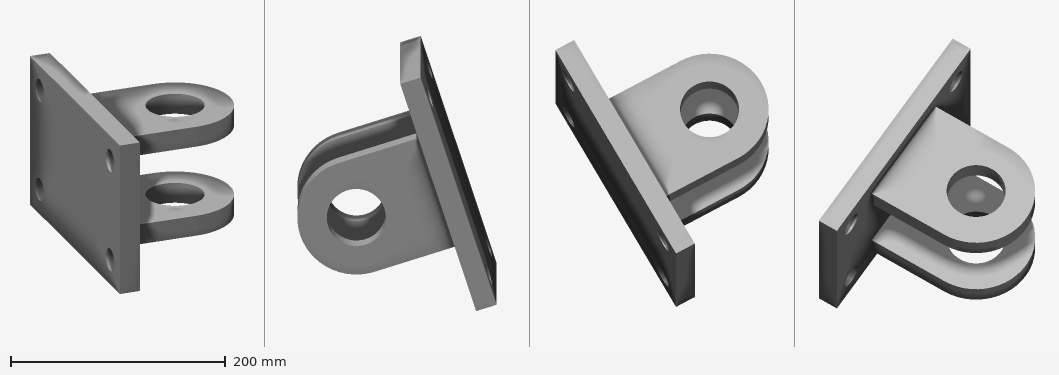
import cadquery as cq

plate_width = 230.0
plate_height = 150.0
plate_thickness = 20.0

mount_hole_diameter = 22.0
mount_hole_spacing_x = 180.0
mount_hole_spacing_z = 100.0

total_depth = 155.0
lug_width = 110.0
lug_thickness = 20.0
lug_outer_span = 110.0
pin_hole_diameter = 55.0
lug_radius = lug_width / 2
pin_axis_y = total_depth - lug_radius
lug_center_offset = (lug_outer_span - lug_thickness) / 2


def make_plate():
    """Rectangular plate with a mounting hole near each corner."""
    plate = cq.Workplane("XY").box(
        plate_width, plate_thickness, plate_height, centered=(True, False, True)
    )
    return (
        plate.faces("<Y")
        .workplane(centerOption="CenterOfBoundBox")
        .rect(mount_hole_spacing_x, mount_hole_spacing_z, forConstruction=True)
        .vertices()
        .hole(mount_hole_diameter)
    )


def make_lug(center_z):
    """Round-ended lug rising from the back of the plate, with its pin hole."""
    return (
        cq.Workplane("XY", origin=(0, 0, center_z - lug_thickness / 2))
        .moveTo(-lug_radius, plate_thickness)
        .lineTo(lug_radius, plate_thickness)
        .lineTo(lug_radius, pin_axis_y)
        .threePointArc((0, total_depth), (-lug_radius, pin_axis_y))
        .close()
        .moveTo(0, pin_axis_y)
        .circle(pin_hole_diameter / 2)
        .extrude(lug_thickness)
    )


result = make_plate()
for side in (-1, 1):
    result = result.union(make_lug(side * lug_center_offset))